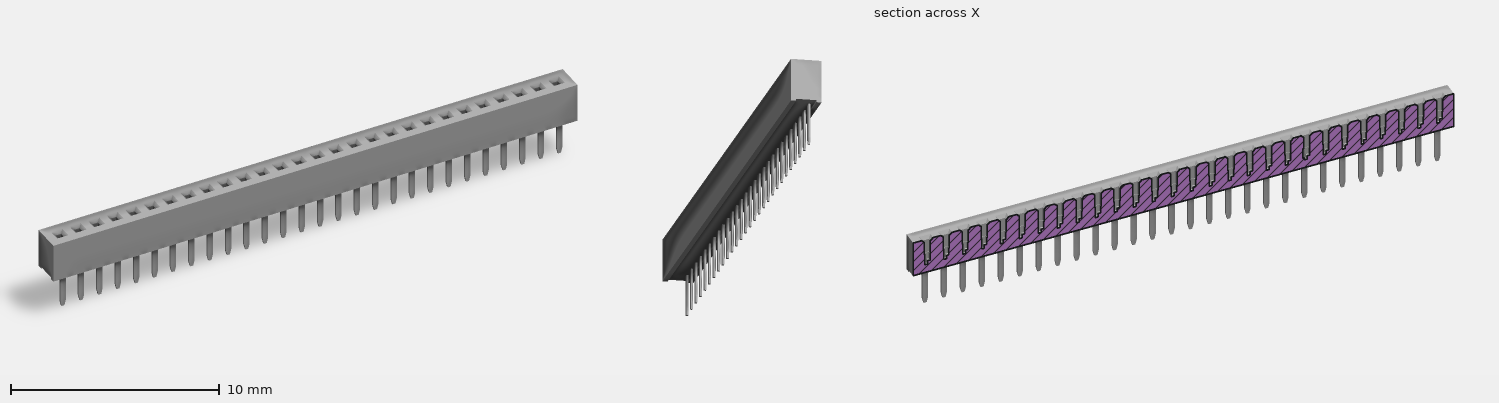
import cadquery as cq

PIN_COUNT = 28
PITCH = 1.0
OVERALL_HEIGHT = 4.0

BODY_WIDTH = 1.5
END_MARGIN = 0.75
BODY_HEIGHT = 2.1
ROW_SPAN = (PIN_COUNT - 1) * PITCH
BODY_LENGTH = ROW_SPAN + 2 * END_MARGIN

GROOVE_WIDTH = 1.0
GROOVE_DEPTH = 0.1

LEAD_IN_SIZE = 0.6
HOLE_SIZE = 0.3
LEAD_IN_DEPTH = 0.15
HOLE_DEPTH = 0.9
POCKET_SIZE = 0.26
POCKET_DEPTH = 1.3
DEEP_HALF_DEPTH = 1.5

PIN_OFFSET = 0.29
PIN_THICKNESS = 0.1
PIN_WIDTH = 0.3
PIN_TIP_WIDTH = 0.15
PIN_TIP_LENGTH = 0.3
PIN_LENGTH = OVERALL_HEIGHT - BODY_HEIGHT


def make_body():
    """Plain block with a groove along its whole underside."""
    block = cq.Workplane("XY").box(BODY_WIDTH, BODY_LENGTH, BODY_HEIGHT, centered=(True, True, False))
    groove = cq.Workplane("XY").box(GROOVE_WIDTH, BODY_LENGTH, GROOVE_DEPTH, centered=(True, True, False))
    return block.cut(groove)


def square_void(size, top_depth, bottom_depth):
    """Square prism between two depths below the top face."""
    return (
        cq.Workplane("XY", origin=(0, 0, BODY_HEIGHT - bottom_depth))
        .rect(size, size)
        .extrude(bottom_depth - top_depth)
    )


def make_cavity():
    """Void of one contact cavity, centred on the Z axis."""
    lead_in = (
        cq.Workplane("XY", origin=(0, 0, BODY_HEIGHT))
        .rect(LEAD_IN_SIZE, LEAD_IN_SIZE)
        .workplane(offset=-LEAD_IN_DEPTH)
        .rect(HOLE_SIZE, HOLE_SIZE)
        .loft(ruled=True)
    )
    hole = square_void(HOLE_SIZE, LEAD_IN_DEPTH, HOLE_DEPTH)
    pocket = square_void(POCKET_SIZE, HOLE_DEPTH, POCKET_DEPTH)
    deep_half = (
        cq.Workplane("XY", origin=(0, POCKET_SIZE / 4, BODY_HEIGHT - DEEP_HALF_DEPTH))
        .rect(POCKET_SIZE, POCKET_SIZE / 2)
        .extrude(DEEP_HALF_DEPTH - POCKET_DEPTH)
    )
    return lead_in.union(hole).union(pocket).union(deep_half)


def make_pin():
    """One pin below the body, rooted in the groove and cut from flat stock in the YZ plane."""
    shoulder_z = PIN_TIP_LENGTH - PIN_LENGTH
    outline = [
        (-PIN_WIDTH / 2, GROOVE_DEPTH),
        (-PIN_WIDTH / 2, shoulder_z),
        (-PIN_TIP_WIDTH / 2, -PIN_LENGTH),
        (PIN_TIP_WIDTH / 2, -PIN_LENGTH),
        (PIN_WIDTH / 2, shoulder_z),
        (PIN_WIDTH / 2, GROOVE_DEPTH),
    ]
    return (
        cq.Workplane("YZ", origin=(PIN_OFFSET, 0, 0))
        .polyline(outline)
        .close()
        .extrude(PIN_THICKNESS / 2, both=True)
    )


def repeat_along_row(shape):
    """Compound of one copy of the shape at every contact position."""
    copies = []
    for index in range(PIN_COUNT):
        y = index * PITCH - ROW_SPAN / 2
        copies.append(shape.val().translate(cq.Vector(0, y, 0)))
    return cq.Workplane(obj=cq.Compound.makeCompound(copies))


result = make_body().cut(repeat_along_row(make_cavity())).union(repeat_along_row(make_pin()))